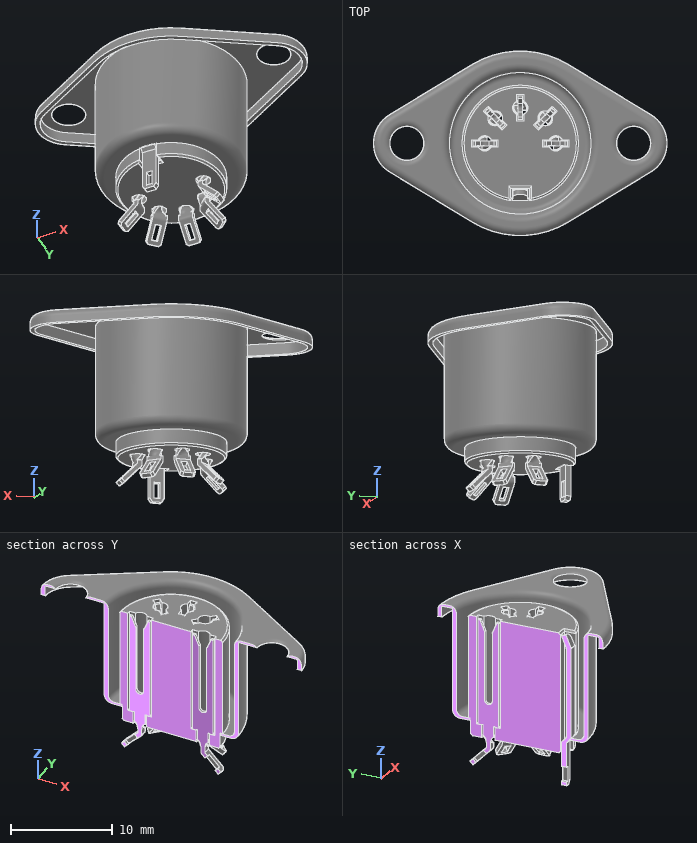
import cadquery as cq
import math


flange_length = 29.0
flange_width = 18.25
flange_thickness = 1.45
flange_sheet_thickness = 0.3
flange_rim_width = 0.5
flange_end_radius = 3.3
flange_edge_fillet = 0.75
mount_hole_radius = 1.65
mount_hole_mouth = 0.6
mount_hole_flare = 0.75

cup_radius = 7.5
cup_bore_radius = 7.0
cup_depth = 12.0
cup_floor_thickness = 0.3
cup_bottom_fillet = 0.9
cup_inner_fillet = 0.6
cup_mouth_fillet = 0.8

insert_head_radius = 5.75
insert_neck_radius = 5.48
insert_top_z = -0.6
insert_bottom_z = -13.6
insert_chamfer = 0.2
notch_width = 1.85
notch_wall_y = -4.45
pin_circle_radius = 3.5
pin_hole_radius = 0.72
contact_slot_length = 2.6
contact_slot_width = 0.7
contact_slot_floor_z = -12.18

lug_width = 1.5
lug_hole_width = 0.6
lug_hole_length = 1.6

tab_thickness = 0.58
tab_top_z = -0.67
tab_bottom_z = -17.0
tab_jog_z = -12.35
tab_lower_y = 5.1
tab_upper_y = 5.63
tab_lip_y = 5.05
tab_lip_height = 1.35
tab_corner_width = 0.25
tab_corner_height = 0.4
tab_hole_margin = 0.4
tab_lip_rounding = 0.72

contact_angles = [0, 45, 90, 135, 180]
contact_thickness = 0.5
fork_width = 2.32
fork_gap = 0.8
fork_mouth = 1.8
fork_mouth_depth = 1.15
fork_top_z = insert_top_z - 0.3
fork_root_z = -9.85
shank_width = 1.2
twist_length = 1.22
twist_angle = 90
lug_top_z = -14.2
stub_height = 0.38
lug_length = 2.55
lug_hole_start = 0.45
lug_bend_angle = 45
lug_corner_chamfer = 0.23

floor_top_z = cup_floor_thickness - cup_depth
mount_hole_x = flange_length / 2 - flange_end_radius


def flange_outline():
    """Rounded rhombus: a large middle circle and two end circles joined by tangents."""
    middle_radius = flange_width / 2
    tangent = math.acos((middle_radius - flange_end_radius) / mount_hole_x)
    normal_x = math.cos(tangent)
    normal_y = math.sin(tangent)
    mid_x = middle_radius * normal_x
    mid_y = middle_radius * normal_y
    end_x = mount_hole_x + flange_end_radius * normal_x
    end_y = flange_end_radius * normal_y
    return (
        cq.Workplane("XY")
        .moveTo(-mid_x, mid_y)
        .threePointArc((0, middle_radius), (mid_x, mid_y))
        .lineTo(end_x, end_y)
        .threePointArc((flange_length / 2, 0), (end_x, -end_y))
        .lineTo(mid_x, -mid_y)
        .threePointArc((0, -middle_radius), (-mid_x, -mid_y))
        .lineTo(-end_x, -end_y)
        .threePointArc((-flange_length / 2, 0), (-end_x, end_y))
        .close()
    )


def make_mount_hole():
    """Space of one mounting hole: its flared mouth and a straight bore through the rest."""
    mouth_radius = mount_hole_radius + mount_hole_mouth
    rim_depth = mount_hole_flare - math.sqrt(mount_hole_flare**2 - mount_hole_mouth**2)
    middle_angle = math.asin(mount_hole_mouth / mount_hole_flare) / 2
    middle_radius = mouth_radius - mount_hole_flare * math.sin(middle_angle)
    middle_z = mount_hole_flare * (math.cos(middle_angle) - 1)
    return (
        cq.Workplane("XZ")
        .lineTo(mouth_radius, 0)
        .threePointArc((middle_radius, middle_z), (mount_hole_radius, -rim_depth))
        .lineTo(mount_hole_radius, -flange_thickness)
        .lineTo(0, -flange_thickness)
        .close()
        .revolve(360, (0, 0, 0), (0, 1, 0))
    )


def make_flange():
    """Shallow tray, open underneath, with a thin top sheet and two mounting holes."""
    flange = flange_outline().extrude(-flange_thickness).faces(">Z").edges().fillet(flange_edge_fillet)
    hollow = flange_outline().offset2D(-flange_rim_width).extrude(-flange_thickness)
    hollow = hollow.translate((0, 0, -flange_sheet_thickness))
    flange = flange.cut(hollow)
    for x in (-mount_hole_x, mount_hole_x):
        flange = flange.cut(make_mount_hole().translate((x, 0, 0)))
    return flange


def make_cup():
    """Solid outer shape of the cup, with a rounded bottom edge."""
    cup = cq.Workplane("XY").circle(cup_radius).extrude(-cup_depth)
    return cup.faces("<Z").edges().fillet(cup_bottom_fillet)


def make_cup_cavity():
    """Revolved space inside the cup: flared mouth, bore, rounded floor corner and floor opening."""
    corner = cup_inner_fillet * (1 - math.sqrt(0.5))
    flare = cup_mouth_fillet * (1 - math.sqrt(0.5))
    return (
        cq.Workplane("XZ")
        .moveTo(0, 0)
        .lineTo(cup_bore_radius + cup_mouth_fillet, 0)
        .threePointArc((cup_bore_radius + flare, -flare), (cup_bore_radius, -cup_mouth_fillet))
        .lineTo(cup_bore_radius, floor_top_z + cup_inner_fillet)
        .threePointArc(
            (cup_bore_radius - corner, floor_top_z + corner),
            (cup_bore_radius - cup_inner_fillet, floor_top_z),
        )
        .lineTo(insert_neck_radius, floor_top_z)
        .lineTo(insert_neck_radius, -cup_depth)
        .lineTo(0, -cup_depth)
        .close()
        .revolve(360, (0, 0, 0), (0, 1, 0))
    )


def make_ground_tab():
    """Strip that steps outward into the cup floor and ends in a rounded, inward-leaning lip."""
    knee_z = tab_top_z - tab_lip_height
    lean = math.atan2(tab_upper_y - tab_lip_y, tab_lip_height)
    strip = (
        cq.Workplane("YZ")
        .moveTo(-tab_lower_y, tab_bottom_z)
        .lineTo(-tab_lower_y, tab_jog_z)
        .lineTo(-tab_upper_y, floor_top_z)
        .lineTo(-tab_upper_y, knee_z)
        .lineTo(-tab_lip_y, tab_top_z)
        .line(tab_thickness * math.cos(lean), -tab_thickness * math.sin(lean))
        .lineTo(-tab_upper_y + tab_thickness, knee_z - tab_thickness * math.tan(lean / 2))
        .lineTo(-tab_upper_y + tab_thickness, floor_top_z)
        .lineTo(-tab_lower_y + tab_thickness, tab_jog_z)
        .lineTo(-tab_lower_y + tab_thickness, tab_bottom_z)
        .close()
        .extrude(lug_width / 2, both=True)
    )
    lip_end = cq.selectors.NearestToPointSelector((0, -tab_lip_y, tab_top_z))
    tab = strip.faces(lip_end).edges("<X or >X").fillet(tab_lip_rounding)
    for side in (-1, 1):
        corner = (
            cq.Workplane("XZ")
            .moveTo(side * lug_width / 2, tab_bottom_z)
            .line(-side * tab_corner_width, 0)
            .line(side * tab_corner_width, tab_corner_height)
            .close()
            .extrude(cup_radius)
        )
        tab = tab.cut(corner)
    hole_z = tab_bottom_z + tab_hole_margin + lug_hole_length / 2
    hole = cq.Workplane("XZ").center(0, hole_z).rect(lug_hole_width, lug_hole_length).extrude(cup_radius)
    return tab.cut(hole)


def make_shell():
    """Sheet-metal flange, cup and ground tab in one piece."""
    return make_flange().union(make_cup()).cut(make_cup_cavity()).union(make_ground_tab())


def make_insert():
    """Stepped plug with a keyway notch and a round hole plus radial slot for each contact."""
    head = cq.Workplane("XY").workplane(offset=floor_top_z).circle(insert_head_radius)
    head = head.extrude(insert_top_z - floor_top_z)
    neck = cq.Workplane("XY").workplane(offset=insert_bottom_z).circle(insert_neck_radius)
    neck = neck.extrude(floor_top_z - insert_bottom_z)
    body = head.union(neck)

    notch = cq.Workplane("XY").workplane(offset=insert_bottom_z)
    notch = notch.center(0, notch_wall_y - insert_head_radius / 2).rect(notch_width, insert_head_radius)
    body = body.cut(notch.extrude(insert_top_z - insert_bottom_z))
    body = body.faces("<Z or >Z").edges().chamfer(insert_chamfer)

    pin_hole = cq.Workplane("XY").workplane(offset=insert_bottom_z).center(pin_circle_radius, 0)
    pin_hole = pin_hole.circle(pin_hole_radius).extrude(insert_top_z - insert_bottom_z)
    slot = cq.Workplane("XY").workplane(offset=contact_slot_floor_z).center(pin_circle_radius, 0)
    slot = slot.rect(contact_slot_length, contact_slot_width).extrude(insert_top_z - contact_slot_floor_z)
    pocket = pin_hole.union(slot)
    for angle in contact_angles:
        body = body.cut(pocket.rotate((0, 0, 0), (0, 0, 1), angle))
    return body


def make_fork():
    """Two-pronged strip lying in the radial plane, centred on the Z axis."""
    twist_top_z = lug_top_z + twist_length
    half_gap = fork_gap / 2
    mouth_bottom_z = fork_top_z - fork_mouth_depth
    return (
        cq.Workplane("XZ")
        .moveTo(-shank_width / 2, twist_top_z)
        .lineTo(shank_width / 2, twist_top_z)
        .lineTo(shank_width / 2, contact_slot_floor_z)
        .lineTo(fork_width / 2, contact_slot_floor_z)
        .lineTo(fork_width / 2, fork_top_z)
        .lineTo(fork_mouth / 2, fork_top_z)
        .lineTo(half_gap, mouth_bottom_z)
        .lineTo(half_gap, fork_root_z + half_gap)
        .threePointArc((0, fork_root_z), (-half_gap, fork_root_z + half_gap))
        .lineTo(-half_gap, mouth_bottom_z)
        .lineTo(-fork_mouth / 2, fork_top_z)
        .lineTo(-fork_width / 2, fork_top_z)
        .lineTo(-fork_width / 2, contact_slot_floor_z)
        .lineTo(-shank_width / 2, contact_slot_floor_z)
        .close()
        .extrude(contact_thickness / 2, both=True)
    )


def make_twist():
    """Quarter turn that takes the strip from the radial plane to the tangential plane."""
    twist = cq.Workplane("XY").workplane(offset=lug_top_z)
    return twist.rect(contact_thickness, shank_width).twistExtrude(twist_length, twist_angle)


def make_bent_lug():
    """Short upright stub, a bend about its outer edge, and a pierced lug sloping outward."""
    half_thickness = contact_thickness / 2
    bend_z = lug_top_z - stub_height
    stub = cq.Workplane("XY").workplane(offset=bend_z).rect(contact_thickness, lug_width).extrude(stub_height)
    bend = (
        cq.Workplane("XZ", origin=(half_thickness, 0, bend_z))
        .lineTo(-contact_thickness, 0)
        .radiusArc(
            (
                -contact_thickness * math.cos(math.radians(lug_bend_angle)),
                -contact_thickness * math.sin(math.radians(lug_bend_angle)),
            ),
            -contact_thickness,
        )
        .close()
        .extrude(lug_width / 2, both=True)
    )
    lug = cq.Workplane("XY").workplane(offset=bend_z - lug_length)
    lug = lug.rect(contact_thickness, lug_width).extrude(lug_length)
    lug = lug.faces("<Z").edges("|X").chamfer(lug_corner_chamfer)
    hole_z = bend_z - lug_hole_start - lug_hole_length / 2
    hole = cq.Workplane("XY").box(2 * contact_thickness, lug_hole_width, lug_hole_length)
    lug = lug.cut(hole.translate((0, 0, hole_z)))
    lug = lug.rotate((half_thickness, 0, bend_z), (half_thickness, 1, bend_z), -lug_bend_angle)
    return stub.union(bend).union(lug)


def make_contact(angle):
    """One contact, placed on the pin circle at the given angle."""
    contact = make_fork().union(make_twist()).union(make_bent_lug())
    return contact.translate((pin_circle_radius, 0, 0)).rotate((0, 0, 0), (0, 0, 1), angle)


shell = make_shell()
insert = make_insert()
contacts = [make_contact(angle) for angle in contact_angles]

bodies = [shell, insert, *contacts]
result = cq.Compound.makeCompound([body.solids().val() for body in bodies])